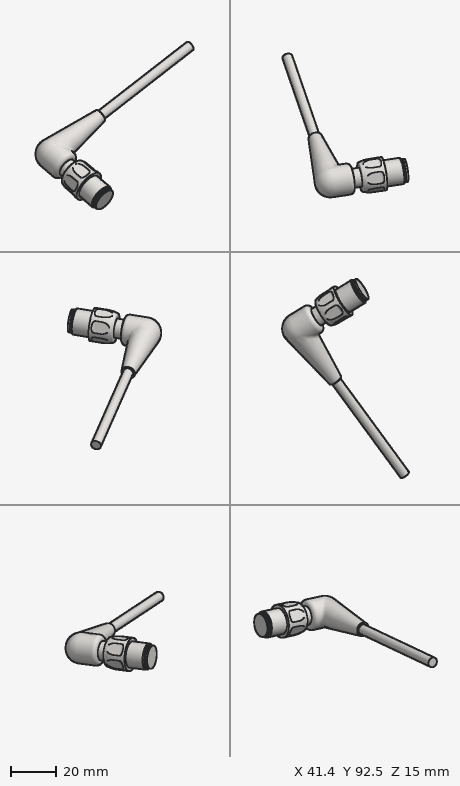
import cadquery as cq
import math


elbow_radius = 14.0 / 2
elbow_end_x = 10.0
elbow_end_rounding = 2.0
corner_rounding = 1.8

cable_diameter = 4.6
cable_end_y = 85.0
boot_end_y = 30.0
boot_end_radius = 3.15

neck_diameter = 8.7

nut_radius = 15.0 / 2
nut_start_x = 13.5
nut_end_x = 24.25
nut_crown_end_x = 18.9
nut_crown_radius = 16.0
nut_edge_rounding = 0.6

flat_count = 6
flat_distance = 14.0 / 2
flat_end_x = 21.7
flat_runout_radius = 2.2

barrel_radius = 11.9 / 2
barrel_end_x = 32.3
collar_radius = 10.9 / 2
collar_end_x = 33.1
groove_radius = 9.9 / 2
tip_start_x = 33.4
tip_radius = 10.5 / 2
plug_end_x = 34.36


def rod_along_x(radius, start_x, end_x):
    return cq.Workplane("YZ").workplane(offset=start_x).circle(radius).extrude(end_x - start_x)


def make_boot():
    """Cone around Y, tangent to the elbow's ball and narrowing to the cable end."""
    end_distance = math.hypot(boot_end_radius, boot_end_y)
    taper_angle = math.atan2(boot_end_y, boot_end_radius) - math.acos(elbow_radius / end_distance)
    tangent_radius = elbow_radius * math.cos(taper_angle)
    tangent_y = elbow_radius * math.sin(taper_angle)
    return (
        cq.Workplane("XY")
        .moveTo(0, tangent_y)
        .lineTo(tangent_radius, tangent_y)
        .lineTo(boot_end_radius, boot_end_y)
        .lineTo(0, boot_end_y)
        .close()
        .revolve(360, (0, 0, 0), (0, 1, 0))
    )


def make_elbow():
    """Ball-ended cylinder joined to the boot, with the inside corner rounded."""
    ball = cq.Workplane("XY").sphere(elbow_radius)
    body = rod_along_x(elbow_radius, 0, elbow_end_x).faces(">X").edges().fillet(elbow_end_rounding)
    elbow = ball.union(body).union(make_boot())
    inside_corner = cq.selectors.BoxSelector(
        (corner_rounding, corner_rounding, -elbow_radius),
        (elbow_end_x, boot_end_y / 2, elbow_radius),
    )
    return elbow.edges(inside_corner).fillet(corner_rounding)


def make_flat_cutter():
    """Material above one grip flat, with a concave runout at the flat's plug end."""
    cutter_top = flat_distance + flat_runout_radius
    runout_middle = (
        flat_end_x + flat_runout_radius * math.sin(math.pi / 4),
        cutter_top - flat_runout_radius * math.cos(math.pi / 4),
    )
    return (
        cq.Workplane("XZ")
        .moveTo(nut_start_x, flat_distance)
        .lineTo(flat_end_x, flat_distance)
        .threePointArc(runout_middle, (flat_end_x + flat_runout_radius, cutter_top))
        .lineTo(nut_start_x, cutter_top)
        .close()
        .extrude(nut_radius, both=True)
    )


def make_nut():
    """Round nut, crowned towards the elbow, with evenly spaced grip flats."""
    crown_length = nut_crown_end_x - nut_start_x
    crown_center_y = nut_radius - nut_crown_radius
    crown_angle = math.asin(crown_length / nut_crown_radius)
    crown_start_y = crown_center_y + nut_crown_radius * math.cos(crown_angle)
    crown_middle = (
        nut_crown_end_x - nut_crown_radius * math.sin(crown_angle / 2),
        crown_center_y + nut_crown_radius * math.cos(crown_angle / 2),
    )
    nut = (
        cq.Workplane("XY")
        .moveTo(nut_start_x, 0)
        .lineTo(nut_start_x, crown_start_y)
        .threePointArc(crown_middle, (nut_crown_end_x, nut_radius))
        .lineTo(nut_end_x, nut_radius)
        .lineTo(nut_end_x, 0)
        .close()
        .revolve(360, (0, 0, 0), (1, 0, 0))
        .faces("<X")
        .edges()
        .fillet(nut_edge_rounding)
    )
    for index in range(flat_count):
        turn = index * 360 / flat_count
        nut = nut.cut(make_flat_cutter().rotate((0, 0, 0), (1, 0, 0), turn))
    return nut


def make_plug():
    """Neck, barrel, collar, groove and tip, one after another along X."""
    neck = rod_along_x(neck_diameter / 2, 0, nut_end_x)
    barrel = rod_along_x(barrel_radius, nut_start_x, barrel_end_x)
    collar = rod_along_x(collar_radius, nut_start_x, collar_end_x)
    groove_core = rod_along_x(groove_radius, nut_start_x, tip_start_x)
    tip = rod_along_x(tip_radius, tip_start_x, plug_end_x)
    return neck.union(barrel).union(collar).union(groove_core).union(tip)


def make_cable():
    return cq.Workplane("XZ").circle(cable_diameter / 2).extrude(-cable_end_y)


result = make_elbow().union(make_cable()).union(make_plug()).union(make_nut())